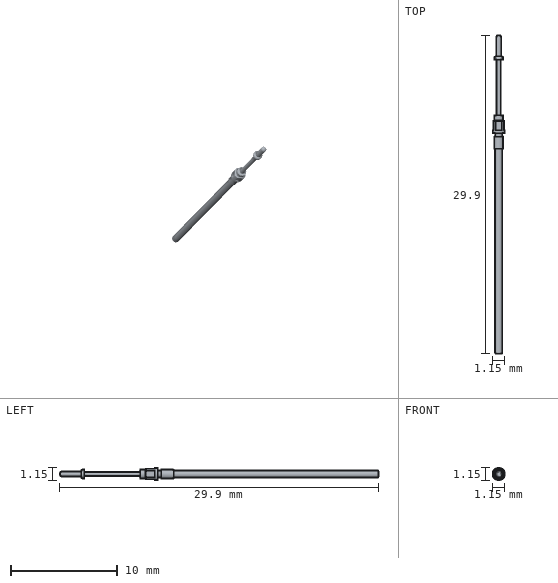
import cadquery as cq

overall_length = 29.9
collar_start = 2.0
collar_end = 2.3
neck_start = 7.53
neck_end = 8.0
flat_end = 8.9
flange_end = 9.2
sleeve_start = 9.53
sleeve_end = 10.6

tip_diameter = 0.5
collar_diameter = 0.85
shaft_diameter = 0.42
neck_diameter = 0.85
body_diameter = 1.15
groove_diameter = 0.68
sleeve_diameter = 0.85
tube_diameter = 0.7

tip_fillet = 0.24
collar_fillet = 0.17
root_fillet = 0.07
body_chamfer_length = 0.1
body_chamfer_depth = (body_diameter - neck_diameter) / 2
sleeve_rear_fillet = 0.08
tube_end_fillet = 0.17
across_flats = 1.0

tip_y = overall_length / 2


def cylinder(diameter, start, end):
    """Cylinder on the Y axis between two stations measured from the tip."""
    plane = cq.Plane(origin=(0, tip_y - start, 0), xDir=(1, 0, 0), normal=(0, -1, 0))
    return cq.Workplane(plane).circle(diameter / 2).extrude(end - start)


def root_flare(diameter, end):
    """Short length of round stock that sweeps outward in a concave fillet to meet a shoulder."""
    radius = diameter / 2
    shoulder_y = tip_y - end
    profile = (
        cq.Workplane("XY")
        .moveTo(0, shoulder_y)
        .lineTo(radius + root_fillet, shoulder_y)
        .radiusArc((radius, shoulder_y + root_fillet), root_fillet)
        .lineTo(0, shoulder_y + root_fillet)
        .close()
    )
    return profile.revolve(360, (0, 0, 0), (0, 1, 0))


def make_plunger():
    """Round-nosed tip, a collar rounded on its front edge, and a thinner shaft behind it."""
    tip = cylinder(tip_diameter, 0, collar_start).faces(">Y").edges().fillet(tip_fillet)
    collar = cylinder(collar_diameter, collar_start, collar_end)
    collar = collar.faces(">Y").edges().fillet(collar_fillet)
    shaft = cylinder(shaft_diameter, collar_end, neck_start)
    return tip.union(collar).union(shaft)


def make_body():
    """Round body with a chamfered front edge and four flats that leave a full flange at the rear."""
    body = cylinder(body_diameter, neck_end, flange_end)
    body = body.faces(">Y").chamfer(body_chamfer_length, body_chamfer_depth)
    flat_length = flat_end - neck_end
    waste_width = 2 * body_diameter
    square = cq.Workplane("XY").box(across_flats, flat_length, across_flats)
    waste = cq.Workplane("XY").box(waste_width, flat_length, waste_width).cut(square)
    return body.cut(waste.translate((0, tip_y - (neck_end + flat_end) / 2, 0)))


def make_housing():
    """Neck, flatted body, groove, sleeve rounded at its rear, and the long tube."""
    neck = cylinder(neck_diameter, neck_start, neck_end)
    neck = neck.union(root_flare(shaft_diameter, neck_start))
    groove = cylinder(groove_diameter, flange_end, sleeve_start)
    groove = groove.union(root_flare(groove_diameter, sleeve_start))
    sleeve = cylinder(sleeve_diameter, sleeve_start, sleeve_end + sleeve_rear_fillet)
    sleeve = sleeve.faces("<Y").edges().fillet(sleeve_rear_fillet)
    tube = cylinder(tube_diameter, sleeve_end, overall_length)
    tube = tube.faces("<Y").edges().fillet(tube_end_fillet)
    return neck.union(make_body()).union(groove).union(sleeve).union(tube)


result = make_plunger().union(make_housing())